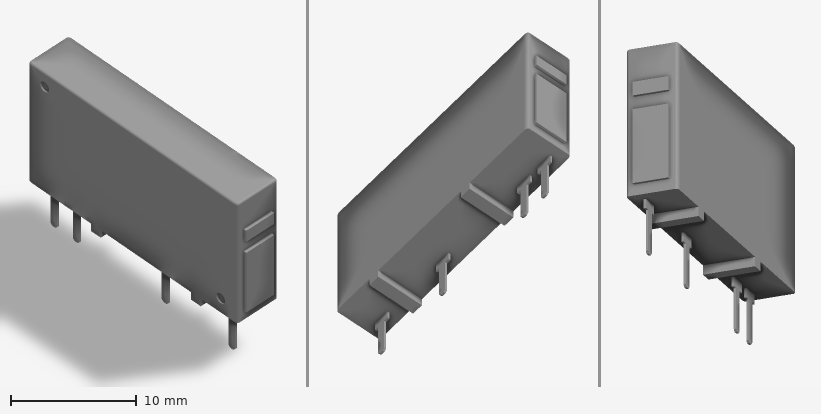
import cadquery as cq
import math


body_length = 23.9
body_thickness = 4.51
body_height = 12.7
top_radius = 0.2

wide_radius = 0.54
tight_radius = 0.21
wide_sweep = 30

standoff_height = 0.8
rib_width = 1.1
rib_positions = (-4.2, 7.23)

pad_projection = 0.3
pad_width = 3.08
pads = ((0.95, 6.37), (8.5, 1.18))

mark_diameter = 1.0
mark_depth = 0.15
mark_offset_x = 10.05
mark_inset_z = 1.5

pin_grid = 2.54
pin_grid_steps = (-4, -3, 1, 4)
pin_width = 0.75
pin_thickness = 0.2
pin_length = 3.7
pin_tip_chamfer = 0.2
pin_center_y = -1.035
shoulder_width = 1.6

body_floor = standoff_height
body_top = body_floor + body_height


def box_on(width, depth, height, x, y, z):
    """Box centred on (x, y) that rises from height z."""
    return cq.Workplane("XY").box(width, depth, height, centered=(True, True, False)).translate((x, y, z))


def make_corner_cutter():
    """Sliver of stock outside the compound rounding of the +X, +Y upright edge."""
    half_length = body_length / 2
    half_thickness = body_thickness / 2
    sweep = math.radians(wide_sweep)
    tight_x = half_length - tight_radius
    wide_x = tight_x - (wide_radius - tight_radius) * math.sin(sweep)
    wide_y = half_thickness - wide_radius
    tight_y = wide_y + (wide_radius - tight_radius) * math.cos(sweep)

    def arc_point(center_x, center_y, radius, turned):
        """Point on an arc after turning by an angle away from +Y toward +X."""
        return (center_x + radius * math.sin(turned), center_y + radius * math.cos(turned))

    wide_middle = arc_point(wide_x, wide_y, wide_radius, sweep / 2)
    junction = arc_point(wide_x, wide_y, wide_radius, sweep)
    tight_middle = arc_point(tight_x, tight_y, tight_radius, (sweep + math.pi / 2) / 2)
    return (
        cq.Workplane("XY", origin=(0, 0, body_floor))
        .moveTo(wide_x, half_thickness)
        .threePointArc(wide_middle, junction)
        .threePointArc(tight_middle, (half_length, tight_y))
        .lineTo(half_length, half_thickness)
        .close()
        .extrude(body_height)
    )


def make_body():
    """Block with compound rounding on its upright edges and a rounded top rim."""
    body = box_on(body_length, body_thickness, body_height, 0, 0, body_floor)
    corner = make_corner_cutter()
    across = corner.mirror("YZ")
    for cutter in (corner, across, corner.mirror("XZ"), across.mirror("XZ")):
        body = body.cut(cutter)
    return body.faces(">Z").edges().fillet(top_radius)


def make_pad(bottom, height):
    """Bar through the body that shows as a raised pad on each end face."""
    return box_on(body_length + 2 * pad_projection, pad_width, height, 0, 0, body_floor + bottom)


def make_rib(x):
    """Stand-off rib under the body."""
    return box_on(rib_width, body_thickness, standoff_height, x, 0, 0)


def make_pin(x):
    """Flat pin with a chamfered tip hanging from its shoulder."""
    shoulder = box_on(shoulder_width, pin_thickness, standoff_height, x, pin_center_y, 0)
    blade = box_on(pin_width, pin_thickness, pin_length, x, pin_center_y, -pin_length)
    blade = blade.edges("|Y and <Z").chamfer(pin_tip_chamfer)
    return shoulder.union(blade)


def make_mark(x, z):
    """Cutter for one round mark sunk into the front face."""
    front_y = -body_thickness / 2
    plane = cq.Workplane("XZ", origin=(x, front_y, z))
    return plane.circle(mark_diameter / 2).extrude(-mark_depth)


result = make_body()
for pad_bottom, pad_height in pads:
    result = result.union(make_pad(pad_bottom, pad_height))
for rib_x in rib_positions:
    result = result.union(make_rib(rib_x))
for step in pin_grid_steps:
    result = result.union(make_pin(step * pin_grid))
result = result.cut(make_mark(-mark_offset_x, body_top - mark_inset_z))
result = result.cut(make_mark(mark_offset_x, body_floor + mark_inset_z))